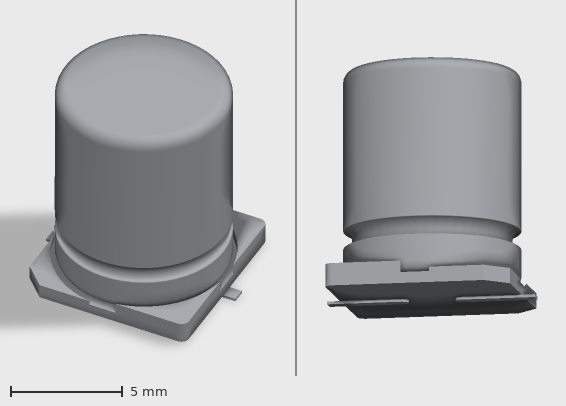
import cadquery as cq

total_height = 10.51
lead_thickness = 0.13

base_width = 8.3
base_low_top = 0.83
base_high_top = 1.15
corner_chamfer = 1.0
corner_fillet = 0.37
pocket_radius = 4.2
pocket_floor = 0.63

can_radius = 4.0
can_edge_radius = 0.54
groove_depth = 0.4
groove_bottom = 2.39
groove_top = 3.19
groove_lip_radius = 0.05

lead_span = 9.5
lead_width = 0.64
lead_inner_reach = 1.07

half_base = base_width / 2


def make_base():
    """Square base, lower on the chamfered -X half, with a round seat for the can."""
    low_height = base_low_top - lead_thickness
    high_height = base_high_top - lead_thickness
    base = cq.Workplane("XY").box(base_width, base_width, high_height, centered=(True, True, False))
    base = base.edges("|Z and <X").chamfer(corner_chamfer)
    base = base.edges("|Z and >X").fillet(corner_fillet)
    step = (
        cq.Workplane("XY", origin=(-half_base / 2, 0, low_height))
        .box(half_base, base_width, high_height - low_height, centered=(True, True, False))
    )
    base = base.cut(step).translate((0, 0, lead_thickness))
    pocket = (
        cq.Workplane("XY", origin=(0, 0, pocket_floor))
        .circle(pocket_radius)
        .extrude(base_high_top - pocket_floor)
    )
    return base.cut(pocket)


def make_can():
    """Cylinder with rounded rims and a rolled groove near its foot."""
    can = (
        cq.Workplane("XY", origin=(0, 0, pocket_floor))
        .circle(can_radius)
        .extrude(total_height - pocket_floor)
        .edges("%CIRCLE")
        .fillet(can_edge_radius)
    )
    groove_middle = (groove_bottom + groove_top) / 2
    groove = (
        cq.Workplane("XZ")
        .moveTo(can_radius, groove_bottom)
        .threePointArc((can_radius - groove_depth, groove_middle), (can_radius, groove_top))
        .close()
        .revolve(360, (0, 0, 0), (0, 1, 0))
    )
    lip_zone = cq.selectors.BoxSelector(
        (-can_radius, -can_radius, groove_bottom - groove_lip_radius),
        (can_radius, can_radius, groove_top + groove_lip_radius),
    )
    return can.cut(groove).edges(lip_zone).edges("%CIRCLE").fillet(groove_lip_radius)


def make_lead(side):
    """Flat lead on the given X side (+1 or -1) with a rounded inner tip."""
    outer_x = side * lead_span / 2
    tip_x = side * lead_inner_reach
    tip_start_x = side * (lead_inner_reach + lead_width / 2)
    return (
        cq.Workplane("XY")
        .moveTo(outer_x, -lead_width / 2)
        .lineTo(tip_start_x, -lead_width / 2)
        .threePointArc((tip_x, 0), (tip_start_x, lead_width / 2))
        .lineTo(outer_x, lead_width / 2)
        .close()
        .extrude(lead_thickness)
    )


result = make_base().union(make_can())
for side in (-1, 1):
    result = result.union(make_lead(side))